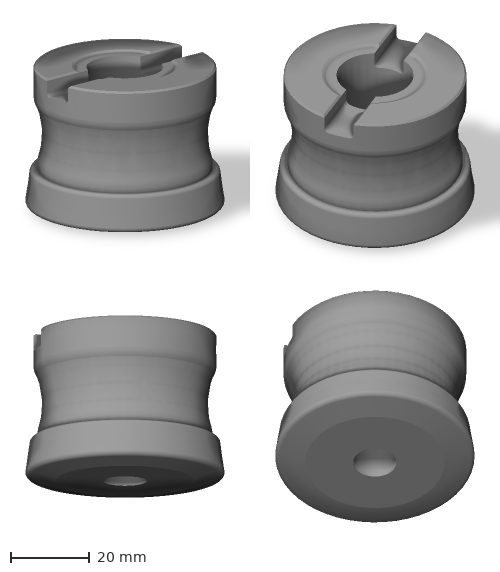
import cadquery as cq

total_height = 38.1
base_height = 10.85

base_radius = 25.35
base_widest_z = 2.35
base_top_corner_radius = 24.15
base_shoulder_fillet = 1.1
base_lower_radius = 24.35
base_lower_z = 1.1
base_foot_radius = 17.75
through_hole_diameter = 11.0

head_diameter = 46.55
head_edge_chamfer = 0.5
head_lower_z = 29.85
head_round_mid_radius = 23.1
head_round_mid_z = 28.65
neck_top_radius = 22.55
neck_top_z = 27.6
neck_radius = 21.05
neck_z = 20.05
neck_bottom_radius = 21.9
neck_bottom_z = 14.3
collar_diameter = 44.65
collar_round_mid_radius = 22.2
collar_round_mid_z = 13.1
collar_z = 11.85

recess_depth = 0.5
recess_top_radius = 13.55
recess_floor_radius = 12.6
bore_mouth_radius = 9.8
bore_bottom_radius = 8.75

slot_width = 8.1
slot_depth = 4.75
slot_edge_chamfer = 0.5
slot_floor_fillet = 1.0


def make_base():
    """Flared base ring with rounded shoulders and a central through hole."""
    hole_radius = through_hole_diameter / 2
    return (
        cq.Workplane("XZ")
        .moveTo(hole_radius, 0)
        .lineTo(base_foot_radius, 0)
        .lineTo(base_lower_radius, base_lower_z)
        .tangentArcPoint((base_radius, base_widest_z), relative=False)
        .lineTo(base_top_corner_radius, base_height)
        .lineTo(hole_radius, base_height)
        .close()
        .revolve(360, (0, 0), (0, 1))
        .faces(">Z")
        .edges(cq.selectors.RadiusNthSelector(-1))
        .fillet(base_shoulder_fillet)
    )


def make_slot_cutter():
    """Slot along Y with rounded floor corners and chamfered upper edges."""
    half_width = slot_width / 2
    floor_z = total_height - slot_depth
    blank = (
        cq.Workplane("XY", origin=(0, 0, floor_z))
        .rect(slot_width, head_diameter * 2)
        .extrude(slot_depth)
        .edges("|Y and <Z")
        .fillet(slot_floor_fillet)
    )
    edge_flare = (
        cq.Workplane("XZ")
        .moveTo(-half_width, total_height - slot_edge_chamfer)
        .lineTo(half_width, total_height - slot_edge_chamfer)
        .lineTo(half_width + slot_edge_chamfer, total_height)
        .lineTo(-half_width - slot_edge_chamfer, total_height)
        .close()
        .extrude(head_diameter, both=True)
    )
    return blank.union(edge_flare)


def make_knob():
    """Waisted knob standing on the base, bored through and slotted across its top."""
    head_radius = head_diameter / 2
    collar_radius = collar_diameter / 2
    body = (
        cq.Workplane("XZ")
        .moveTo(bore_bottom_radius, base_height)
        .lineTo(collar_radius, base_height)
        .lineTo(collar_radius, collar_z)
        .threePointArc(
            (collar_round_mid_radius, collar_round_mid_z), (neck_bottom_radius, neck_bottom_z)
        )
        .threePointArc((neck_radius, neck_z), (neck_top_radius, neck_top_z))
        .threePointArc((head_round_mid_radius, head_round_mid_z), (head_radius, head_lower_z))
        .lineTo(head_radius, total_height - head_edge_chamfer)
        .lineTo(head_radius - head_edge_chamfer, total_height)
        .lineTo(recess_top_radius, total_height)
        .lineTo(recess_floor_radius, total_height - recess_depth)
        .lineTo(bore_mouth_radius, total_height - recess_depth)
        .close()
        .revolve(360, (0, 0), (0, 1))
    )
    return body.cut(make_slot_cutter())


base = make_base()
knob = make_knob()

result = cq.Compound.makeCompound([base.val(), knob.val()])